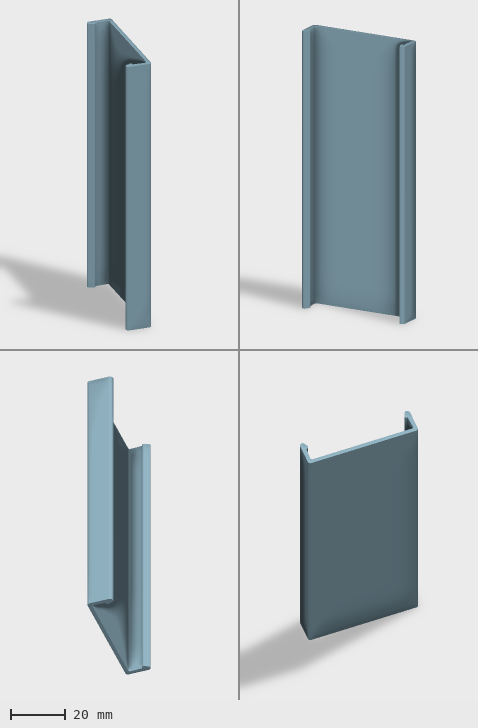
import cadquery as cq
import math

width = 42.9
depth = 9.8
length = 105.0

web_thickness = 1.5
leg_root_thickness = 1.5
leg_tip_thickness = 1.7
outer_corner_radius = 0.9
inner_corner_radius = 0.7
tip_radius = 1.3

bead_ledge_depth = 6.7
bead_radius = 0.8
bead_center_inset = 1.8
lead_in_angle = 27.0

half_width = width / 2
inner_half_width = half_width - leg_root_thickness
bead_center_x = half_width - bead_center_inset
bead_center_y = -bead_ledge_depth - bead_radius


def bead_point(angle):
    """Point on the bead, with the angle turned from inward toward the leg tip."""
    turn = math.radians(angle)
    return (
        bead_center_x - bead_radius * math.cos(turn),
        bead_center_y - bead_radius * math.sin(turn),
    )


def half_section():
    """Right half of the channel section, with the back of the web at Y = 0."""
    lead_in_start = bead_point(lead_in_angle)
    lead_in_run = (depth + lead_in_start[1]) * math.tan(math.radians(lead_in_angle))
    lead_in_end = (lead_in_start[0] + lead_in_run, -depth)
    return (
        cq.Workplane("XY")
        .moveTo(0, 0)
        .lineTo(half_width - outer_corner_radius, 0)
        .radiusArc((half_width, -outer_corner_radius), outer_corner_radius)
        .lineTo(half_width, -depth + tip_radius)
        .radiusArc((half_width - tip_radius, -depth), tip_radius)
        .lineTo(*lead_in_end)
        .lineTo(*lead_in_start)
        .threePointArc(bead_point(0), bead_point(-90))
        .lineTo(half_width - leg_tip_thickness, -bead_ledge_depth)
        .lineTo(inner_half_width, -web_thickness - inner_corner_radius)
        .radiusArc((inner_half_width - inner_corner_radius, -web_thickness), -inner_corner_radius)
        .lineTo(0, -web_thickness)
        .close()
    )


right_half = half_section().extrude(length)
result = right_half.union(right_half.mirror("YZ")).clean()